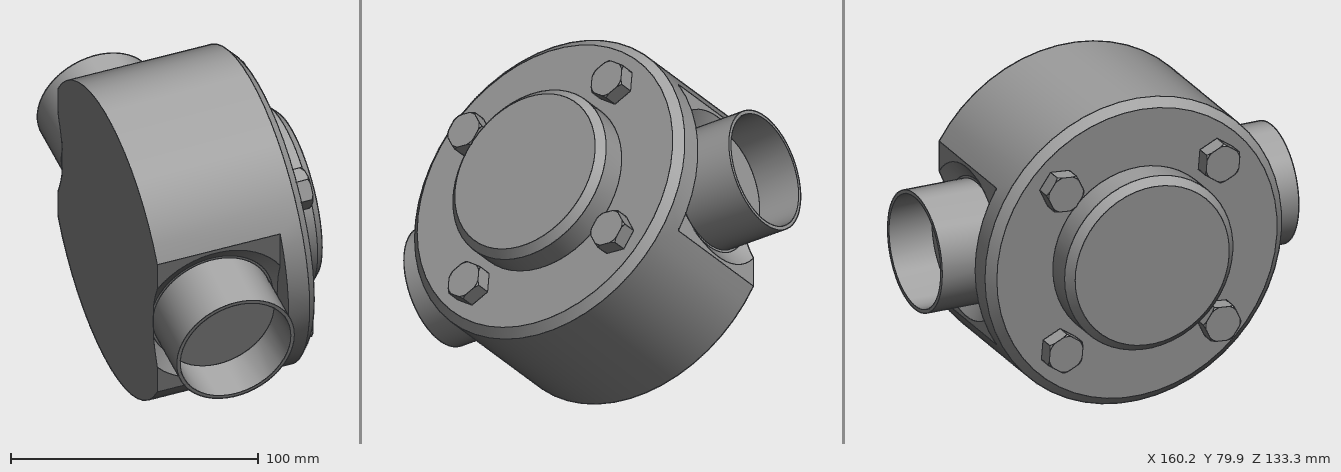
import cadquery as cq
import math

overall_length = 160.2
body_diameter = 133.3
body_depth = 53.0
flat_distance = 57.0

flange_back = 65.5
flange_bevel_depth = 3.4
flange_bevel_width = 3.7
boss_diameter = 75.6
boss_back = 79.6
boss_chamfer = 3.2

port_axis_y = 25.07
pipe_diameter = 50.8
pipe_bore = 47.7
bore_floor = 60.9
recess_outer_diameter = 65.7
recess_inner_diameter = 52.9
recess_depth = 4.5

bolt_pitch_radius = 49.8
bolt_across_flats = 14.7
bolt_head_height = 7.0
bolt_chamfer = 0.8
bolt_turn = 40.0

pipe_end = overall_length / 2
recess_floor = flat_distance - recess_depth


def disc(diameter, start_y, end_y):
    """Round disc about the Y axis."""
    return (
        cq.Workplane("XZ", origin=(0, start_y, 0))
        .circle(diameter / 2)
        .extrude(start_y - end_y)
    )


def port_plane(side, distance):
    """Workplane on the port axis, facing outwards; side is -1 or 1."""
    return cq.Workplane(
        cq.Plane(
            origin=(side * distance, port_axis_y, 0),
            xDir=(0, 1, 0),
            normal=(side, 0, 0),
        )
    )


def make_body():
    side_flats = cq.Workplane("XY").box(
        2 * flat_distance, body_depth, body_diameter, centered=(True, False, True)
    )
    return disc(body_diameter, 0, body_depth).intersect(side_flats)


def make_flange():
    radius = body_diameter / 2
    return (
        cq.Workplane("XY")
        .moveTo(0, body_depth)
        .lineTo(radius, body_depth)
        .lineTo(radius, flange_back - flange_bevel_depth)
        .lineTo(radius - flange_bevel_width, flange_back)
        .lineTo(0, flange_back)
        .close()
        .revolve(360, (0, 0, 0), (0, 1, 0))
    )


def make_boss():
    boss = disc(boss_diameter, flange_back, boss_back)
    return boss.faces(">Y").edges().chamfer(boss_chamfer)


def make_bolt_head(angle):
    """Hexagonal head on the flange; the head turns with its position."""
    corner_diameter = bolt_across_flats / math.cos(math.radians(30))
    head = (
        cq.Workplane("XZ", origin=(0, flange_back, 0))
        .polygon(6, corner_diameter)
        .extrude(-bolt_head_height)
    )
    blank = disc(corner_diameter, flange_back, flange_back + bolt_head_height)
    blank = blank.faces(">Y").edges().chamfer(bolt_chamfer)
    return (
        head.intersect(blank)
        .rotate((0, 0, 0), (0, 1, 0), bolt_turn)
        .translate((bolt_pitch_radius, 0, 0))
        .rotate((0, 0, 0), (0, 1, 0), angle)
    )


def make_recess(side):
    """Conical sinking in a side flat, narrowing towards the centre."""
    return (
        port_plane(side, recess_floor)
        .circle(recess_inner_diameter / 2)
        .workplane(offset=recess_depth)
        .circle(recess_outer_diameter / 2)
        .loft(ruled=True)
    )


def make_pipe(side):
    """Pipe stub rising from the recess floor, with a blind bore."""
    pipe = (
        port_plane(side, recess_floor)
        .circle(pipe_diameter / 2)
        .extrude(pipe_end - recess_floor)
    )
    bore = (
        port_plane(side, bore_floor)
        .circle(pipe_bore / 2)
        .extrude(pipe_end - bore_floor)
    )
    return pipe.cut(bore)


body = make_body()
for side in (-1, 1):
    body = body.cut(make_recess(side))

result = body.union(make_flange()).union(make_boss())
for side in (-1, 1):
    result = result.union(make_pipe(side))
for angle in (45, 135, 225, 315):
    result = result.union(make_bolt_head(angle))